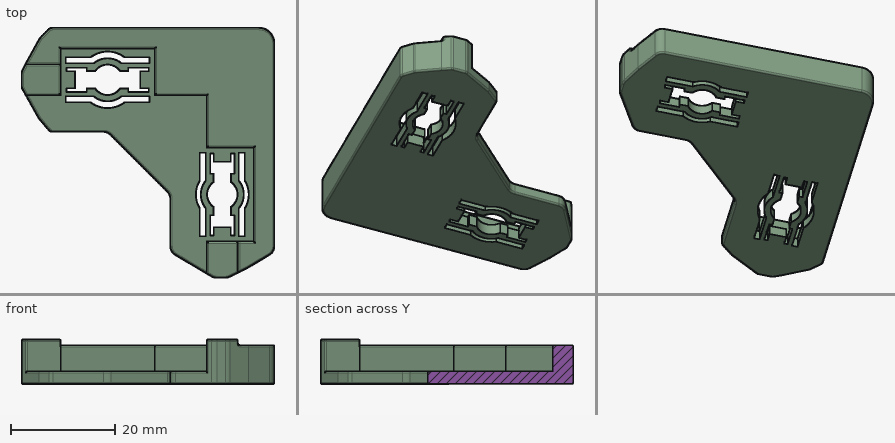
import cadquery as cq


FLOOR_Z = 2.5
PLATE_Z = 7.5
PAD_Z = 8.6
RIM_RADIUS = 0.35

X_ARM_LENGTH = 48.5
Y_ARM_LENGTH = 48.0
ARM_WIDTH = 20.0
SHOULDER = 43.0
DIAGONAL_START = 32.0
OUTER_CORNER_RADIUS = 3.0
CORNER_RADIUS = 2.0
X_TIP_RADIUS = 1.0

Y_TIP_FLAT = (9.0, 11.6)
X_TIP_FLAT = (8.5, 11.5)
Y_TAPER_BEND = (5.0, 46.0)
X_TAPER_CHAMFER = 2.0
X_TAPER_BEND_OUTER = (47.55, 6.6)
X_TAPER_BEND_INNER = (45.2, 17.4)

POCKET_SIDE = 4.0
STEP = 13.0
PAD_SIDE = 7.0

ARM_AXIS = ARM_WIDTH / 2
PATTERN_PLACE = 32.0
POCKET_HALF_LENGTH = 9.0
POCKET_NEAR = PATTERN_PLACE - POCKET_HALF_LENGTH
POCKET_FAR = PATTERN_PLACE + POCKET_HALF_LENGTH

SIDE_SLOT_HALF_LENGTH = 8.0
SIDE_SLOT_INNER = 3.2
SIDE_SLOT_OUTER = 4.3
BOW_INNER_RADIUS = 4.15
X_ARM_BOW_RADIUS = 5.4
Y_ARM_BOW_RADIUS = 5.05
HOLE_RADIUS = 2.9
CHANNEL_HALF_LENGTH = 7.85
CHANNEL_HALF_WIDTH = 2.3
NECK_HALF_LENGTH = 4.0
NECK_HALF_WIDTH = 1.65
TONGUE_TIP = 6.25

CLEARANCE = 1.0
BEYOND = -60.0
TOLERANCE = 0.01


def block(x_range, y_range, z_range):
    """Axis-aligned box spanning three (low, high) ranges."""
    sizes = [high - low for low, high in (x_range, y_range, z_range)]
    corner = (x_range[0], y_range[0], z_range[0])
    return cq.Workplane("XY").box(*sizes, centered=False).translate(corner)


def same(a, b):
    return abs(a - b) < TOLERANCE


def outline_prism():
    """Full-height prism of the L outline with its rounded corners."""
    corners = [
        (0, 0, OUTER_CORNER_RADIUS),
        (0, -SHOULDER, CORNER_RADIUS),
        (-Y_TAPER_BEND[0], -Y_TAPER_BEND[1], 0),
        (-Y_TIP_FLAT[0], -Y_ARM_LENGTH, CORNER_RADIUS),
        (-Y_TIP_FLAT[1], -Y_ARM_LENGTH, CORNER_RADIUS),
        (-ARM_WIDTH, -SHOULDER, CORNER_RADIUS),
        (-ARM_WIDTH, -DIAGONAL_START, CORNER_RADIUS),
        (-DIAGONAL_START, -ARM_WIDTH, CORNER_RADIUS),
        (-SHOULDER, -ARM_WIDTH, X_TIP_RADIUS),
        (-X_TAPER_BEND_INNER[0], -X_TAPER_BEND_INNER[1], 0),
        (-X_ARM_LENGTH, -X_TIP_FLAT[1], X_TIP_RADIUS),
        (-X_ARM_LENGTH, -X_TIP_FLAT[0], X_TIP_RADIUS),
        (-X_TAPER_BEND_OUTER[0], -X_TAPER_BEND_OUTER[1], 0),
        (-SHOULDER - X_TAPER_CHAMFER, -X_TAPER_CHAMFER, X_TIP_RADIUS),
        (-SHOULDER, 0, X_TIP_RADIUS),
    ]
    prism = cq.Workplane("XY").polyline([(x, y) for x, y, _ in corners]).close().extrude(PAD_Z)
    for x, y, radius in corners:
        if radius:
            prism = prism.edges(cq.selectors.NearestToPointSelector((x, y, PAD_Z / 2))).fillet(radius)
    return prism


def cut_recess(part):
    """Open the inside of the L and one pocket per arm down to the floor."""
    heights = (FLOOR_Z, PAD_Z + CLEARANCE)
    inside = (BEYOND, -STEP)
    along = (-POCKET_FAR, -POCKET_NEAR)
    across = (-ARM_WIDTH, -POCKET_SIDE)
    part = part.cut(block(inside, inside, heights))
    part = part.cut(block(along, across, heights))
    return part.cut(block(across, along, heights))


def lower_plate(part):
    """Lower everything but the two pads to the plate height."""
    heights = (PLATE_Z, PAD_Z + CLEARANCE)
    everywhere = (BEYOND, CLEARANCE)
    pad_along = (BEYOND, -POCKET_FAR)
    pad_across = (-STEP, -PAD_SIDE)
    waste = block(everywhere, everywhere, heights)
    waste = waste.cut(block(pad_along, pad_across, heights))
    waste = waste.cut(block(pad_across, pad_along, heights))
    return part.cut(waste)


def on_line(edge, distances):
    """True if the edge lies in a plane X = -d or Y = -d for one of the distances."""
    box = edge.BoundingBox()
    return any(
        same(low, -d) and same(high, -d)
        for d in distances
        for low, high in ((box.xmin, box.xmax), (box.ymin, box.ymax))
    )


def is_level(edge):
    box = edge.BoundingBox()
    return same(box.zmin, box.zmax)


def is_pad_foot(edge):
    """Inside corner between the plate and the outer side of a pad."""
    return is_level(edge) and same(edge.Center().z, PLATE_Z) and on_line(edge, [PAD_SIDE])


def is_rim(edge):
    """Exposed edges, once the pad feet are rounded."""
    box = edge.BoundingBox()
    if is_level(edge):
        if same(box.zmin, FLOOR_Z):
            return not on_line(edge, [STEP, POCKET_NEAR, POCKET_FAR, POCKET_SIDE])
        if same(box.zmin, PLATE_Z):
            return not on_line(edge, [PAD_SIDE - RIM_RADIUS])
        return same(box.zmin, 0) or same(box.zmin, PAD_Z)
    if same(box.zmin, FLOOR_Z):
        at_tip = min(box.xmin, box.ymin) < -POCKET_FAR - CLEARANCE
        return at_tip and on_line(edge, [STEP])
    return box.zmin > PLATE_Z - TOLERANCE


def round_edges(part, wanted):
    solid = part.val()
    return cq.Workplane(obj=solid.fillet(RIM_RADIUS, [e for e in solid.Edges() if wanted(e)]))


def spring_pattern(bow_radius):
    """Through cutter for one slot pattern, long direction along X, centred on the origin."""
    depth = (-CLEARANCE, FLOOR_Z + CLEARANCE)

    def bar(half_length, half_width):
        return block((-half_length, half_length), (-half_width, half_width), depth)

    def disc(radius):
        return cq.Workplane("XY", origin=(0, 0, depth[0])).circle(radius).extrude(depth[1] - depth[0])

    side_slots = bar(SIDE_SLOT_HALF_LENGTH, SIDE_SLOT_OUTER).union(disc(bow_radius))
    side_slots = side_slots.cut(bar(SIDE_SLOT_HALF_LENGTH, SIDE_SLOT_INNER)).cut(disc(BOW_INNER_RADIUS))

    channel = bar(CHANNEL_HALF_LENGTH, CHANNEL_HALF_WIDTH)
    channel = channel.cut(bar(CHANNEL_HALF_LENGTH, NECK_HALF_WIDTH))
    channel = channel.cut(bar(NECK_HALF_LENGTH, CHANNEL_HALF_WIDTH))
    channel = channel.union(bar(TONGUE_TIP, NECK_HALF_WIDTH)).union(disc(HOLE_RADIUS))
    return side_slots.union(channel)


def cut_spring_patterns(part):
    x_arm = spring_pattern(X_ARM_BOW_RADIUS).translate((-PATTERN_PLACE, -ARM_AXIS, 0))
    y_arm = spring_pattern(Y_ARM_BOW_RADIUS).rotate((0, 0, 0), (0, 0, 1), 90)
    y_arm = y_arm.translate((-ARM_AXIS, -PATTERN_PLACE, 0))
    return part.cut(x_arm).cut(y_arm)


bracket = lower_plate(cut_recess(outline_prism()))
bracket = round_edges(bracket, is_pad_foot)
bracket = round_edges(bracket, is_rim)
result = cut_spring_patterns(bracket)